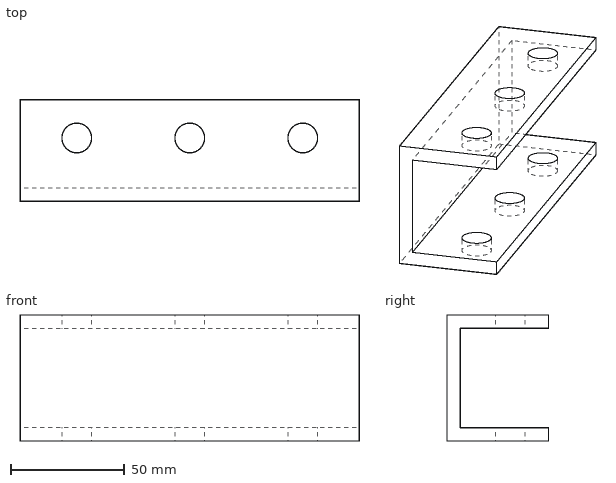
import cadquery as cq

length = 150.0
depth = 45.0
height = 56.0
wall = 6.0

hole_diameter = 13.0
hole_count = 3
hole_spacing = length / hole_count
hole_from_web_face = 28.0


def make_channel():
    """Block with its lower front edge on the X axis, hollowed out from the +Y side."""
    block = cq.Workplane("XY").box(length, depth, height, centered=(True, False, False))
    opening = (
        cq.Workplane("XY")
        .box(length, depth - wall, height - 2 * wall, centered=(True, False, False))
        .translate((0, wall, wall))
    )
    return block.cut(opening)


def make_hole_cutters():
    """Vertical cylinders spanning the full height, centred along the length."""
    return (
        cq.Workplane("XY")
        .center(0, hole_from_web_face)
        .rarray(hole_spacing, 1.5, hole_count, 1)
        .circle(hole_diameter / 2)
        .extrude(height)
    )


result = make_channel().cut(make_hole_cutters())